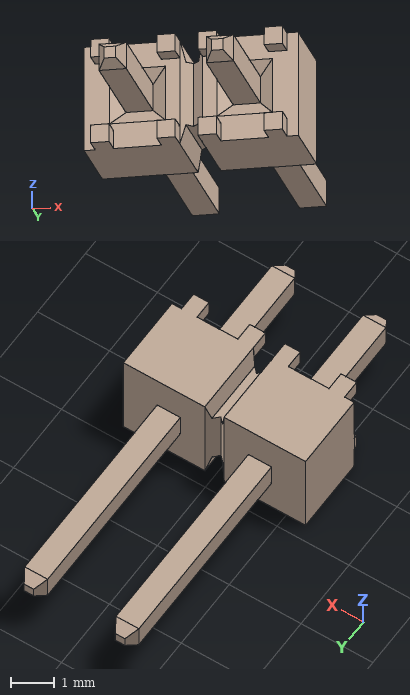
import cadquery as cq

total_length = 10.92
pin_count = 2
housing_width = 5.08
pitch = housing_width / pin_count
housing_height = 2.54
housing_depth = 2.03

pin_size = 0.64
pin_tip_size = 0.27
pin_tip_length = 0.31
pin_front_length = 3.05

pocket_size = 1.32
pocket_depth = 0.24

notch_width = 0.54
notch_floor_width = 0.3
web_height = 1.54
groove_depth = notch_width / 2

foot_size = 0.44
foot_length = 0.5
foot_outer_reach = (pitch - notch_width) / 2

pin_centers = [(i - (pin_count - 1) / 2) * pitch for i in range(pin_count)]


def square_frustum(x_center, y_start, start_size, y_end, end_size):
    """Square section centred on a pin axis, blended from y_start to y_end."""
    return (
        cq.Workplane("XZ", origin=(x_center, y_start, 0))
        .rect(start_size, start_size)
        .workplane(offset=y_start - y_end)
        .rect(end_size, end_size)
        .loft(ruled=True)
    )


def make_pin(x_center):
    front_end = -pin_front_length
    back_end = front_end + total_length
    front_shoulder = front_end + pin_tip_length
    back_shoulder = back_end - pin_tip_length
    shaft = cq.Workplane("XY", origin=(x_center, front_shoulder, 0)).box(
        pin_size, back_shoulder - front_shoulder, pin_size, centered=(True, False, True)
    )
    front_tip = square_frustum(x_center, front_shoulder, pin_size, front_end, pin_tip_size)
    back_tip = square_frustum(x_center, back_shoulder, pin_size, back_end, pin_tip_size)
    return shaft.union(front_tip).union(back_tip)


def make_feet(x_center):
    x_offset = foot_outer_reach - foot_size / 2
    z_offset = (housing_height - foot_size) / 2
    foot_centers = [
        (x_center + x_side * x_offset, z_side * z_offset)
        for x_side in (-1, 1)
        for z_side in (-1, 1)
    ]
    return (
        cq.Workplane("XZ")
        .pushPoints(foot_centers)
        .rect(foot_size, foot_size)
        .extrude(foot_length)
    )


def make_break_notch(side):
    """Tapered notch across the top (side = 1) or bottom (side = -1) of the housing."""
    return (
        cq.Workplane("XZ")
        .polyline([
            (-notch_width / 2, side * housing_height / 2),
            (-notch_floor_width / 2, side * web_height / 2),
            (notch_floor_width / 2, side * web_height / 2),
            (notch_width / 2, side * housing_height / 2),
        ])
        .close()
        .extrude(-housing_depth)
    )


def make_break_groove(y_face, y_bottom):
    """V-groove running vertically down the front or back face."""
    return (
        cq.Workplane("XY")
        .polyline([(-notch_width / 2, y_face), (0, y_bottom), (notch_width / 2, y_face)])
        .close()
        .extrude(housing_height / 2, both=True)
    )


result = cq.Workplane("XY").box(
    housing_width, housing_depth, housing_height, centered=(True, False, True)
)
for side in (-1, 1):
    result = result.cut(make_break_notch(side))
result = result.cut(make_break_groove(0, groove_depth))
result = result.cut(make_break_groove(housing_depth, housing_depth - groove_depth))

for x_center in pin_centers:
    result = result.cut(square_frustum(x_center, 0, pocket_size, pocket_depth, pin_size))
    result = result.union(make_feet(x_center))
    result = result.union(make_pin(x_center))